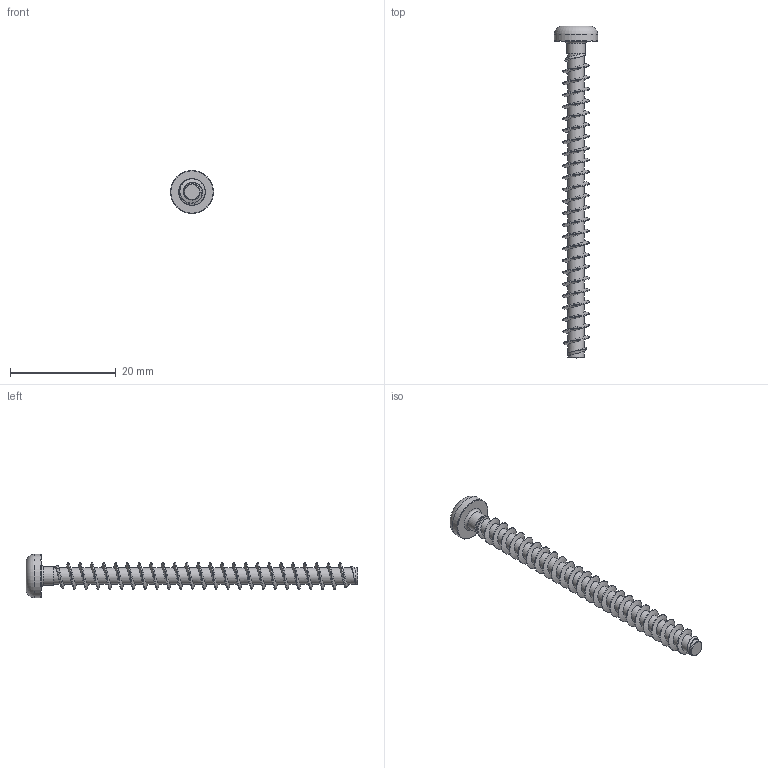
import cadquery as cq
import math


head_diameter = 8.2
head_height = 2.89
crown_radius = 1.55
rim_radius = 0.1

neck_diameter = 3.6
neck_length = 2.4
neck_fillet = 0.5

shank_length = 60.0
core_diameter = 3.04
tip_chamfer = 0.1

thread_diameter = 5.0
pitch = 2.24
crest_width = 0.12
root_width = 0.65
root_overlap = 0.15
thread_start = neck_length
thread_end = 59.6
start_depth = 0.05
start_fade_length = pitch
end_fade_length = 1.3 * pitch
envelope_clearance = 0.3
first_crest = 2.33

head_radius = head_diameter / 2
neck_radius = neck_diameter / 2
core_radius = core_diameter / 2
thread_radius = thread_diameter / 2


def make_head():
    """Pan head with a rounded crown and a softened rim at the seat."""
    head = cq.Workplane("XZ").circle(head_radius).extrude(-head_height)
    return head.faces(">Y").edges().fillet(crown_radius).faces("<Y").edges().fillet(rim_radius)


def make_shank():
    """Neck flared into the seat, threaded core and chamfered tip, revolved about Y."""
    profile = (
        cq.Workplane("XY")
        .moveTo(0, 0)
        .lineTo(neck_radius + neck_fillet, 0)
        .radiusArc((neck_radius, -neck_fillet), -neck_fillet)
        .lineTo(neck_radius, -neck_length)
        .lineTo(core_radius, -neck_length)
        .lineTo(core_radius, -shank_length + tip_chamfer)
        .lineTo(core_radius - tip_chamfer, -shank_length)
        .lineTo(0, -shank_length)
        .close()
    )
    return profile.revolve(360, (0, 0, 0), (0, 1, 0))


def make_full_thread():
    """Trapezoidal ridge of constant height, swept along a helix from the neck to beyond the thread end."""
    turns = math.ceil((thread_end - first_crest) / pitch) + 1
    last_crest = first_crest + turns * pitch
    root_radius = core_radius - root_overlap
    path = cq.Wire.makeHelix(pitch, turns * pitch, core_radius)
    ridge = (
        cq.Workplane("XZ")
        .polyline(
            [
                (root_radius, -root_width / 2),
                (thread_radius, -crest_width / 2),
                (thread_radius, crest_width / 2),
                (root_radius, root_width / 2),
            ]
        )
        .close()
        .sweep(path, isFrenet=True)
    )
    return ridge.rotate((0, 0, 0), (1, 0, 0), -90).translate((0, -last_crest, 0))


def make_thread_envelope():
    """Revolved volume whose conical ends fade the thread in below the neck and out at the tip."""
    envelope_radius = thread_radius + envelope_clearance
    start_radius = neck_radius - start_depth
    start_stretch = (envelope_radius - start_radius) / (thread_radius - start_radius)
    end_stretch = (envelope_radius - core_radius) / (thread_radius - core_radius)
    profile = (
        cq.Workplane("XY")
        .moveTo(0, -thread_start)
        .lineTo(start_radius, -thread_start)
        .lineTo(envelope_radius, -thread_start - start_fade_length * start_stretch)
        .lineTo(envelope_radius, -thread_end + end_fade_length * end_stretch)
        .lineTo(core_radius, -thread_end)
        .lineTo(0, -thread_end)
        .close()
    )
    return profile.revolve(360, (0, 0, 0), (0, 1, 0))


thread = make_full_thread().intersect(make_thread_envelope())
screw = make_head().union(make_shank()).union(thread)
result = cq.Workplane(screw.solids().val())